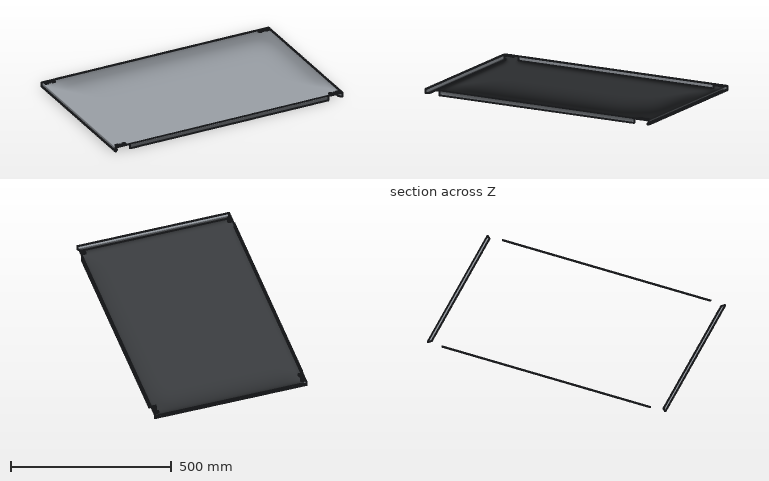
import cadquery as cq

width = 499.0
length = 800.0
height = 15.0
thickness = 1.5
outer_bend = 2.9
inner_bend = outer_bend - thickness

end_flange_width = 494.0
return_lip = 11.0
side_flange_length = 698.0
side_corner_radius = 2.0

opening_x = 238.0
opening_y = 375.0
opening_pitch = 12.0
window_width = 11.0
window_length = 9.0
round_hole_diameter = 6.0


def end_channel():
    """Top sheet with down-turned ends and inward return lips mitred at 45 degrees."""
    outer = (
        cq.Workplane("YZ")
        .rect(length, height)
        .extrude(end_flange_width / 2, both=True)
        .edges("|X")
        .fillet(outer_bend)
    )
    inner = (
        cq.Workplane("YZ")
        .rect(length - 2 * thickness, height - 2 * thickness)
        .extrude(end_flange_width / 2, both=True)
        .edges("|X")
        .fillet(inner_bend)
    )
    lip_root_y = length / 2 - outer_bend
    lip_edge_y = length / 2 - return_lip
    lip_root_x = end_flange_width / 2
    lip_edge_x = lip_root_x - (lip_root_y - lip_edge_y)
    lip_gap = (
        cq.Workplane("XY")
        .workplane(offset=-height / 2)
        .moveTo(-lip_root_x, -lip_root_y)
        .lineTo(-lip_edge_x, -lip_edge_y)
        .lineTo(lip_edge_x, -lip_edge_y)
        .lineTo(lip_root_x, -lip_root_y)
        .lineTo(lip_root_x, lip_root_y)
        .lineTo(lip_edge_x, lip_edge_y)
        .lineTo(-lip_edge_x, lip_edge_y)
        .lineTo(-lip_root_x, lip_root_y)
        .close()
        .extrude(height - thickness)
    )
    return outer.cut(inner).cut(lip_gap)


def side_channel():
    """Top sheet with down-turned sides, rounded at their lower corners."""
    outer = (
        cq.Workplane("XY")
        .box(width, side_flange_length, height)
        .edges("|Y and >Z")
        .fillet(outer_bend)
        .edges("|X and <Z")
        .fillet(side_corner_radius)
    )
    inner = (
        cq.Workplane("XY")
        .box(width - 2 * thickness, side_flange_length, height)
        .edges("|Y and >Z")
        .fillet(inner_bend)
        .translate((0, 0, -thickness))
    )
    return outer.cut(inner)


def corner_openings():
    """Two rectangular windows with a round hole between them at each corner."""
    corners = [(sx * opening_x, sy * opening_y) for sx in (-1, 1) for sy in (-1, 1)]
    windows = [(x, y + shift) for x, y in corners for shift in (-opening_pitch, opening_pitch)]
    sheet_bottom = cq.Workplane("XY").workplane(offset=height / 2 - thickness)
    round_holes = sheet_bottom.pushPoints(corners).circle(round_hole_diameter / 2).extrude(thickness)
    square_holes = sheet_bottom.pushPoints(windows).rect(window_width, window_length).extrude(thickness)
    return round_holes.union(square_holes)


result = end_channel().union(side_channel()).cut(corner_openings())